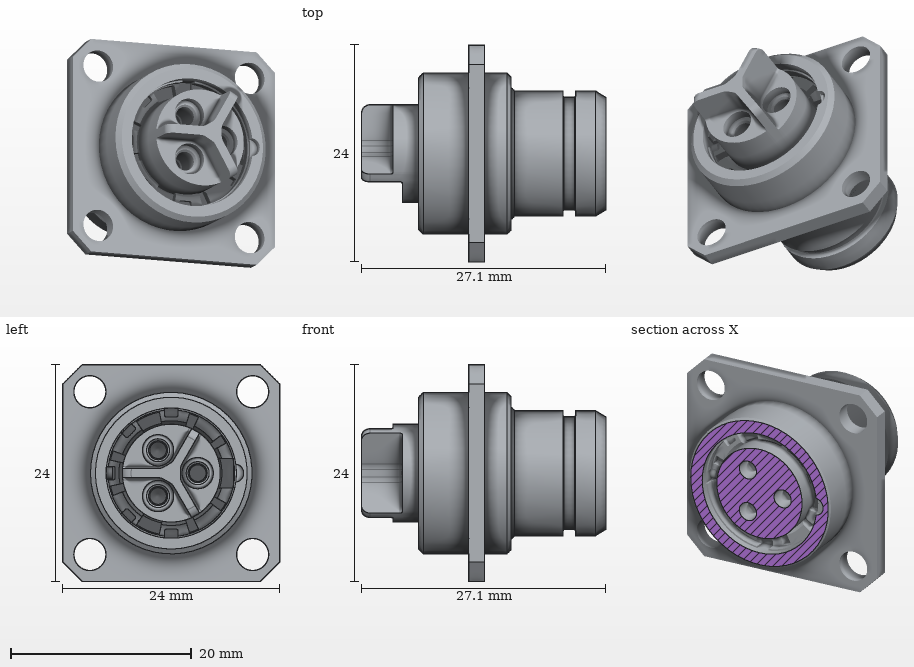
import cadquery as cq
import math

length = 27.05

flange_side = 24.0
flange_front = 11.85
flange_thickness = 1.75
flange_corner = 2.16
hole_spacing = 18.0
hole_diameter = 3.52

collar_front = 6.3
collar_back = 16.55
collar_radius = 8.93
collar_front_chamfer = 0.55
collar_back_chamfer = 0.5

barrel_radius = 6.92
barrel_root_blend = 0.38
groove_start = 22.3
groove_end = 23.67
groove_radius = 6.25
groove_edge = 0.1
taper_start = 25.85
taper_end_radius = 6.2

bore_radius = 7.2
bore_step = 7.45
inner_bore_radius = 7.0
ring_front = 8.39
ring_outer_radius = 6.87
ring_inner_radius = 5.15
ring_lead_in = 0.38
ring_gap_depth = 0.95
gap_end = ring_front + ring_gap_depth
gap_lead_in = 0.2
wide_gap_angle = 67.5
wide_gap_width = 23.0
narrow_gaps = [(16.5, 9.0), (111.5, 9.0), (147.0, 8.5)]
key_slot_width = 3.25
closed_pocket_angles = [-45, 45]
open_pocket_angles = [-90, 0, 90]
pocket_width = 1.5
pocket_inner_radius = 6.2
pocket_depth = 0.55
pocket_corner = 0.22
key_radius = 0.68
key_inner_radius = 6.5
key_root = 0.14
notch_radius = 1.0
notch_depth = 0.8

insert_radius = 5.4
insert_end = 12.17
insert_nose_radius = 0.97
fin_thickness = 1.0
hub_flat = 1.0
hub_blend = 1.2
sector_floor_blend = 0.25
sectors = [(60, 3.5), (-60, 3.5), (180, 4.52)]
earth_angle = 180
sector_angle = 120

contact_circle_radius = 2.92
counterbore_radius = 1.73
counterbore_depth = 1.14
contact_mouth_radius = 1.27
contact_mouth_depth = 0.22
contact_lip_radius = 1.05
contact_lip_depth = 3.8
contact_hole_radius = 0.92
contact_hole_depth = 4.87
drill_point_angle = 118.0


def revolved(points, angle=360):
    """Revolve an (X, radius) outline about the X axis, starting at +Y."""
    return cq.Workplane("XY").polyline(points).close().revolve(angle, (0, 0), (1, 0))


def turned(shape, angle):
    """Turn a shape about the X axis."""
    return shape.rotate((0, 0, 0), (1, 0, 0), angle)


def rod(start, end, radius):
    return cq.Workplane("YZ").workplane(offset=start).circle(radius).extrude(end - start)


def radial_block(start, end, inner, outer, width):
    """Block along +Y between two radii, centred on Z = 0."""
    return cq.Workplane("XY").box(
        end - start, outer - inner, width, centered=(False, False, True)
    ).translate((start, inner, 0))


def make_flange():
    plate = (
        cq.Workplane("YZ")
        .workplane(offset=flange_front)
        .rect(flange_side, flange_side)
        .extrude(flange_thickness)
        .edges("|X")
        .chamfer(flange_corner)
    )
    return plate.faces("<X").workplane(origin=(0, 0, 0)).rect(
        hole_spacing, hole_spacing, forConstruction=True
    ).vertices().hole(hole_diameter)


def make_shell():
    return revolved([
        (collar_front, 0),
        (collar_front, collar_radius - collar_front_chamfer),
        (collar_front + collar_front_chamfer, collar_radius),
        (collar_back - collar_back_chamfer, collar_radius),
        (collar_back, collar_radius - collar_back_chamfer),
        (collar_back, barrel_radius + barrel_root_blend),
        (collar_back + barrel_root_blend, barrel_radius),
        (groove_start, barrel_radius),
        (groove_start, groove_radius + groove_edge),
        (groove_start + groove_edge, groove_radius),
        (groove_end - groove_edge, groove_radius),
        (groove_end, groove_radius + groove_edge),
        (groove_end, barrel_radius),
        (taper_start, barrel_radius),
        (length, taper_end_radius),
        (length, 0),
    ])


def make_bore():
    """Stepped bore that ends in a conical lead-in around the insert."""
    bore_end = ring_front + ring_lead_in + insert_radius - ring_inner_radius
    return revolved([
        (collar_front, 0),
        (collar_front, bore_radius),
        (bore_step, bore_radius),
        (bore_step, inner_bore_radius),
        (ring_front, inner_bore_radius),
        (ring_front, insert_radius + ring_lead_in),
        (bore_end, ring_inner_radius),
        (bore_end, 0),
    ])


def make_ring_gap(centre_angle, width):
    gap = revolved([
        (ring_front, ring_inner_radius),
        (ring_front, ring_outer_radius),
        (gap_end, ring_outer_radius),
        (gap_end, ring_inner_radius),
    ], width)
    return turned(gap, centre_angle - width / 2)


def make_gap_lead_in(centre_angle, width):
    """Conical lead-in around the insert at the floor of a gap."""
    lead_in = revolved([
        (ring_front, ring_inner_radius),
        (ring_front, insert_radius + gap_lead_in),
        (gap_end, insert_radius + gap_lead_in),
        (gap_end + gap_lead_in, insert_radius),
        (gap_end + gap_lead_in, ring_inner_radius),
    ], width)
    return turned(lead_in, centre_angle - width / 2)


def make_pocket(start, outer):
    pocket = radial_block(
        start, ring_front + pocket_depth, pocket_inner_radius, outer, pocket_width
    )
    return pocket.edges("|X and <Y").fillet(pocket_corner)


def make_sector_cut(floor):
    """Wedge between two fins, opening toward +Y, with a blended hub flat and floor."""
    half_angle = math.radians(sector_angle / 2)
    tip = fin_thickness / 2 / math.sin(half_angle)
    reach = 2 * insert_radius
    flat_half_width = (hub_flat - tip) * math.tan(half_angle)
    spread = (reach - tip) * math.tan(half_angle)
    wedge = (
        cq.Workplane("YZ")
        .polyline([
            (hub_flat, -flat_half_width),
            (hub_flat, flat_half_width),
            (reach, spread),
            (reach, -spread),
        ])
        .close()
        .extrude(floor)
    )
    wedge = wedge.edges("|X and <Y").fillet(hub_blend)
    return wedge.faces(">X").edges().fillet(sector_floor_blend)


def make_socket_cut(floor, pointed):
    """Counterbored contact hole on the X axis; signal contacts end in a drill point."""
    seat = floor + counterbore_depth
    bottom = seat + contact_hole_depth
    point_height = 0
    if pointed:
        point_height = contact_hole_radius / math.tan(math.radians(drill_point_angle / 2))
    return revolved([
        (floor - sector_floor_blend, 0),
        (floor - sector_floor_blend, counterbore_radius),
        (seat, counterbore_radius),
        (seat, contact_mouth_radius),
        (seat + contact_mouth_depth, contact_lip_radius),
        (seat + contact_lip_depth, contact_lip_radius),
        (seat + contact_lip_depth + contact_lip_radius - contact_hole_radius, contact_hole_radius),
        (bottom, contact_hole_radius),
        (bottom + point_height, 0),
    ])


def make_insert():
    insert = rod(0, insert_end, insert_radius).faces("<X").edges().fillet(insert_nose_radius)
    for angle, floor in sectors:
        insert = insert.cut(turned(make_sector_cut(floor), angle))
        socket = make_socket_cut(floor, angle != earth_angle).translate((0, contact_circle_radius, 0))
        insert = insert.cut(turned(socket, angle))
    return insert


body = make_shell().union(make_flange()).cut(make_bore())

for side in (1, -1):
    body = body.cut(make_ring_gap(side * wide_gap_angle, wide_gap_width))
    body = body.cut(make_gap_lead_in(side * wide_gap_angle, wide_gap_width))
    for centre_angle, width in narrow_gaps:
        body = body.cut(make_ring_gap(side * centre_angle, width))

slot = radial_block(
    ring_front, gap_end, ring_inner_radius, ring_outer_radius, key_slot_width
)
slot_angle = math.degrees(2 * math.asin(key_slot_width / 2 / insert_radius))
body = body.cut(turned(slot, earth_angle))
body = body.cut(make_gap_lead_in(earth_angle, slot_angle))

for angle in closed_pocket_angles:
    body = body.cut(turned(make_pocket(ring_front, inner_bore_radius), angle))
for angle in open_pocket_angles:
    body = body.cut(turned(make_pocket(bore_step, bore_radius), angle))

key = (
    cq.Workplane("XZ", origin=(ring_front + key_radius, bore_radius + key_root, 0))
    .circle(key_radius)
    .extrude(bore_radius + key_root - key_inner_radius)
)
body = body.union(key)

notch = rod(collar_front, collar_front + notch_depth, notch_radius)
body = body.cut(notch.translate((0, -inner_bore_radius, 0)))

well = rod(collar_front, insert_end, insert_radius)
result = body.cut(well).union(make_insert())